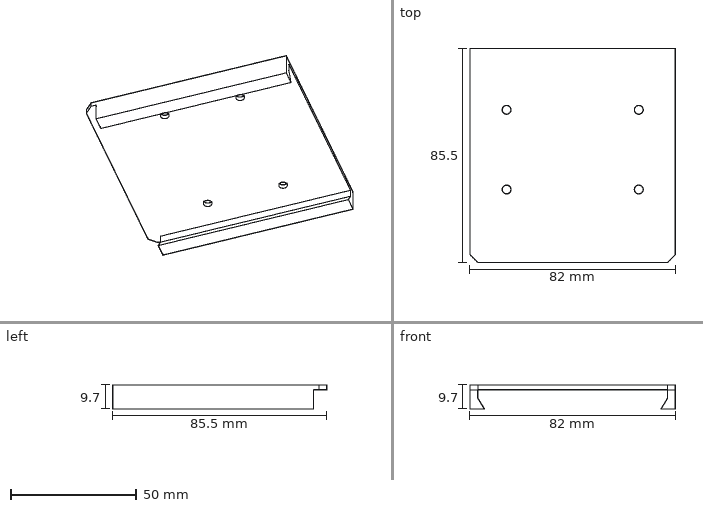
import cadquery as cq

width = 82.0
length = 85.5
height = 9.7
plate_thickness = 2.0
corner_chamfer = 3.2

rail_length = 80.3
wall_thickness = 3.2
foot_width = 5.8
foot_slope_top = 4.4

hole_diameter = 3.4
hole_spacing_x = 52.75
hole_spacing_y = 31.8
hole_center_y = 2.3


def make_plate():
    """Flat plate with its top at z = height and both front corners cut off."""
    plate = cq.Workplane("XY").box(width, length, plate_thickness, centered=(True, True, False))
    plate = plate.translate((0, 0, height - plate_thickness))
    return plate.edges("|Z and <Y").chamfer(corner_chamfer)


def make_left_rail():
    """Side wall whose foot slopes inward to a sharp lower edge."""
    outer_x = -width / 2
    inner_x = outer_x + wall_thickness
    profile = [
        (outer_x, 0),
        (outer_x + foot_width, 0),
        (inner_x, foot_slope_top),
        (inner_x, height - plate_thickness),
        (outer_x, height - plate_thickness),
    ]
    back_plane = cq.Workplane("XZ", origin=(0, length / 2, 0))
    return back_plane.polyline(profile).close().extrude(rail_length)


left_rail = make_left_rail()
right_rail = left_rail.mirror("YZ")
body = make_plate().union(left_rail).union(right_rail)

result = (
    body.faces(">Z")
    .workplane(origin=(0, hole_center_y, height))
    .rarray(hole_spacing_x, hole_spacing_y, 2, 2)
    .hole(hole_diameter)
)